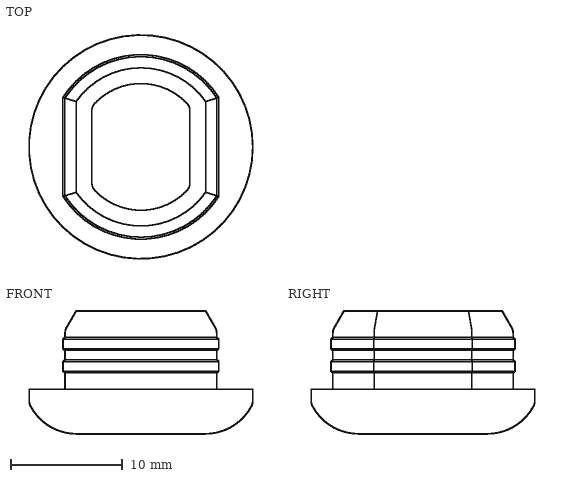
import cadquery as cq
import math

total_height = 11.0
flange_top = 4.0

flange_radius = 10.0
dome_flat_radius = 5.75
dome_rim_height = 2.5
rim_blend_radius = 1.0
rim_blend_angle = 27.3

body_radius = 8.05
flat_offset = 6.78
rib_projection = 0.18
rib_bases = (5.45, 7.45)
rib_height = 1.15
rib_chamfer_height = 0.15
lead_in_angle = 30.0
lead_in_blend_radius = 1.0
lead_in_start = 9.0

pocket_radius = 5.65
pocket_flat_offset = 4.38
pocket_depth = 7.0
pocket_draft = 5.0
pocket_corner_radius = 1.0
pocket_floor_fillet = 0.5


def arc_offset(radius, angle):
    """Inset and rise along an arc that starts vertical and turns inward by the angle."""
    turn = math.radians(angle)
    return radius * (1 - math.cos(turn)), radius * math.sin(turn)


def make_flange():
    """Disc with a domed underside that is tangent to its flat centre."""
    blend_inset, blend_drop = arc_offset(rim_blend_radius, rim_blend_angle)
    half_inset, half_drop = arc_offset(rim_blend_radius, rim_blend_angle / 2)
    blend_top = dome_rim_height + blend_drop
    profile = (
        cq.Workplane("XZ")
        .lineTo(dome_flat_radius, 0)
        .tangentArcPoint((flange_radius - blend_inset, dome_rim_height), relative=False)
        .threePointArc((flange_radius - half_inset, blend_top - half_drop), (flange_radius, blend_top))
        .lineTo(flange_radius, flange_top)
        .lineTo(0, flange_top)
        .close()
    )
    return profile.revolve(360, (0, 0, 0), (0, 1, 0))


def plug_profile(half_width):
    """Right half of the plug's ribbed section, closed along the Z axis."""
    rib_width = half_width + rib_projection
    profile = cq.Workplane("XZ").moveTo(0, flange_top).lineTo(half_width, flange_top)
    for base in rib_bases:
        top = base + rib_height
        profile = (
            profile.lineTo(half_width, base)
            .lineTo(rib_width, base + rib_chamfer_height)
            .lineTo(rib_width, top - rib_chamfer_height)
            .lineTo(half_width, top)
        )
    blend_inset, blend_rise = arc_offset(lead_in_blend_radius, lead_in_angle)
    half_inset, half_rise = arc_offset(lead_in_blend_radius, lead_in_angle / 2)
    blend_top = lead_in_start + blend_rise
    lead_in_inset = (total_height - blend_top) * math.tan(math.radians(lead_in_angle))
    return (
        profile.lineTo(half_width, lead_in_start)
        .threePointArc(
            (half_width - half_inset, lead_in_start + half_rise),
            (half_width - blend_inset, blend_top),
        )
        .lineTo(half_width - blend_inset - lead_in_inset, total_height)
        .lineTo(0, total_height)
        .close()
    )


def make_plug():
    """Round ribbed body cut to two flats that carry the same ribbed section."""
    round_body = plug_profile(body_radius).revolve(360, (0, 0, 0), (0, 1, 0))
    half_bar = plug_profile(flat_offset).extrude(flange_radius, both=True)
    bar = half_bar.union(half_bar.mirror("YZ"))
    return round_body.intersect(bar)


def make_pocket():
    """Flat-sided round pocket narrowing downward, with blended corners and floor."""
    flat_end = math.sqrt(pocket_radius**2 - pocket_flat_offset**2)
    solid = (
        cq.Workplane("XY", origin=(0, 0, total_height))
        .moveTo(pocket_flat_offset, -flat_end)
        .lineTo(pocket_flat_offset, flat_end)
        .threePointArc((0, pocket_radius), (-pocket_flat_offset, flat_end))
        .lineTo(-pocket_flat_offset, -flat_end)
        .threePointArc((0, -pocket_radius), (pocket_flat_offset, -flat_end))
        .close()
        .extrude(-pocket_depth, taper=pocket_draft)
    )
    corners = solid.edges("not(<Z or >Z)")
    return corners.fillet(pocket_corner_radius).faces("<Z").edges().fillet(pocket_floor_fillet)


result = make_flange().union(make_plug()).cut(make_pocket())